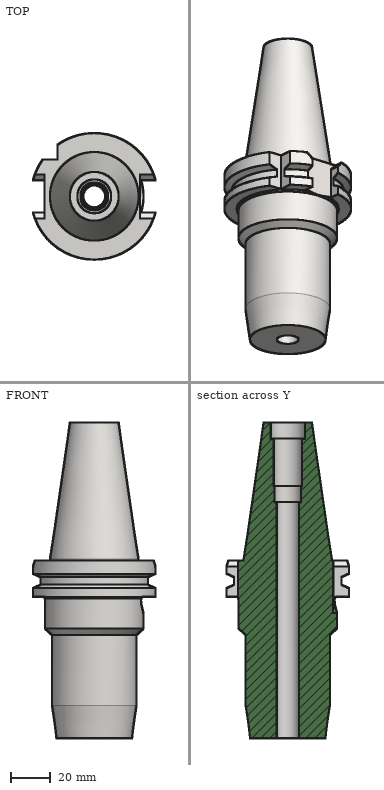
import cadquery as cq


gauge_dia = 44.45
taper_length = 68.4
taper_rate = 7 / 24
taper_small_dia = gauge_dia - taper_length * taper_rate

flange_dia = 63.55
flange_top_z = -0.85
flange_bottom_z = -19.1
groove_floor_dia = 56.25
groove_center_z = -11.1
groove_mouth_width = 7.2
groove_floor_width = 3.75

collar_dia = 49.5
body_dia = 42.5
collar_relief = 0.85
collar_chamfer_height = 3.2
collar_bottom_z = -35.0
nose_height = 16.5
nose_tip_dia = 38.0
nose_tip_z = -90.0

keyway_width = 16.1
keyway_edge_chamfer = 3.0
left_keyway_floor = 25.0
right_keyway_floor = 22.8

notch_inner = 18.5

counterbore_dia = 17.0
counterbore_depth = 8.2
thread_bore_dia = 14.0
thread_bore_depth = 32.0
pilot_bore_dia = 13.2
pilot_bore_depth = 40.0
through_bore_dia = 11.0

cutter_reach = flange_dia


def make_body():
    """Revolve the outer profile about Z."""
    flange_r = flange_dia / 2
    floor_r = groove_floor_dia / 2
    collar_r = collar_dia / 2
    body_r = body_dia / 2
    tip_r = nose_tip_dia / 2
    return (
        cq.Workplane("YZ")
        .moveTo(0, taper_length)
        .lineTo(taper_small_dia / 2, taper_length)
        .lineTo(gauge_dia / 2, 0)
        .lineTo(gauge_dia / 2, flange_top_z)
        .lineTo(flange_r, flange_top_z)
        .lineTo(flange_r, groove_center_z + groove_mouth_width / 2)
        .lineTo(floor_r, groove_center_z + groove_floor_width / 2)
        .lineTo(floor_r, groove_center_z - groove_floor_width / 2)
        .lineTo(flange_r, groove_center_z - groove_mouth_width / 2)
        .lineTo(flange_r, flange_bottom_z)
        .lineTo(collar_r + collar_relief, flange_bottom_z)
        .lineTo(collar_r, flange_bottom_z - collar_relief)
        .lineTo(collar_r, collar_bottom_z)
        .lineTo(body_r, collar_bottom_z - collar_chamfer_height)
        .lineTo(body_r, nose_tip_z + nose_height)
        .lineTo(tip_r, nose_tip_z)
        .lineTo(0, nose_tip_z)
        .close()
        .revolve(360, (0, 0, 0), (0, 1, 0))
    )


def make_keyway_cutter(floor_x, side):
    """Keyway with chamfered top edges and a round end below the flange; side is -1 or +1 along X."""
    half = keyway_width / 2
    half_top = half + keyway_edge_chamfer
    chamfer_z = flange_top_z - keyway_edge_chamfer
    return (
        cq.Workplane("YZ", origin=(side * floor_x, 0, 0))
        .moveTo(-half_top, flange_top_z)
        .lineTo(half_top, flange_top_z)
        .lineTo(half, chamfer_z)
        .lineTo(half, flange_bottom_z)
        .threePointArc((0, flange_bottom_z - half), (-half, flange_bottom_z))
        .lineTo(-half, chamfer_z)
        .close()
        .extrude(side * cutter_reach)
    )


def make_notch_cutter():
    """Square-cornered notch through the flange on the -X, +Y side."""
    flange_height = flange_top_z - flange_bottom_z
    return cq.Workplane("XY").box(
        cutter_reach, cutter_reach, flange_height, centered=False
    ).translate((-notch_inner - cutter_reach, notch_inner, flange_bottom_z))


def make_bore_cutter():
    """Through bore with three wider steps at the taper end."""
    steps = (
        (counterbore_dia, counterbore_depth),
        (thread_bore_dia, thread_bore_depth),
        (pilot_bore_dia, pilot_bore_depth),
        (through_bore_dia, taper_length - nose_tip_z),
    )
    cutter = cq.Workplane("XY")
    for diameter, depth in steps:
        step = cq.Workplane("XY", origin=(0, 0, taper_length)).circle(diameter / 2).extrude(-depth)
        cutter = cutter.union(step)
    return cutter


result = (
    make_body()
    .cut(make_keyway_cutter(left_keyway_floor, -1))
    .cut(make_keyway_cutter(right_keyway_floor, 1))
    .cut(make_notch_cutter())
    .cut(make_bore_cutter())
)